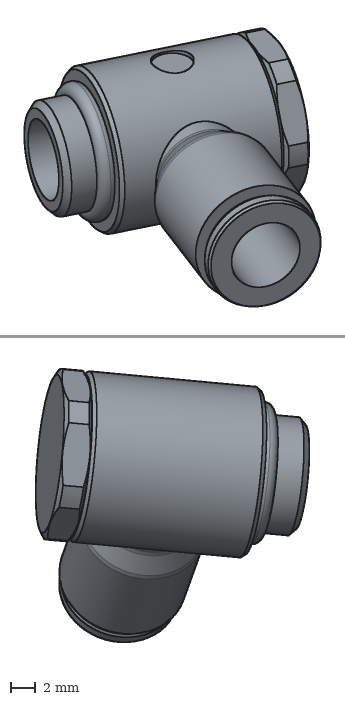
import cadquery as cq
import math

OVERALL_LENGTH = 27.7

BODY_DIAMETER = 14.0
BODY_RADIUS = BODY_DIAMETER / 2
BODY_REAR = 7.12
BODY_FRONT = -7.29
REAR_CHAMFER = 0.3
FRONT_CHAMFER_LENGTH = 0.35
FRONT_CHAMFER_DEPTH = 0.25

HEX_SIDES = 6
HEX_ACROSS_FLATS = 13.02
HEAD_REAR = 9.42
HEAD_CHAMFER_LENGTH = 0.3
HEAD_CHAMFER_ANGLE = 30

SEAL_OUTER_RADIUS = 5.85
SEAL_SECTION_RADIUS = 0.83
SEAL_CENTER = BODY_FRONT - SEAL_SECTION_RADIUS / 2
STUB_RADIUS = 4.85
STUB_FRONT = -11.27
STUB_CHAMFER = 0.55

NECK_RADIUS = 4.2
SOCKET_RADIUS = 5.25
CONE_START = 7.2
CONE_END = 9.33
CONE_BLEND_RADIUS = 0.95
RIM_MARGIN = 0.28
SOCKET_END = 18.5
COLLET_NECK_RADIUS = 3.6
FLANGE_START = 19.35
FLANGE_END = OVERALL_LENGTH - BODY_RADIUS
FLANGE_RADIUS = 4.93
FLANGE_CHAMFER_LENGTH = 0.28
FLANGE_CHAMFER_DEPTH = 0.15

PASSAGE_RADIUS = 3.0
INLET_RADIUS = 3.4
INLET_DEPTH = 4.0

RECESS_DIAMETER = 3.52
RECESS_FLOOR = 6.6


def cylinder_y(radius, rear, front):
    """Cylinder around the Y axis from the rear face to the front face."""
    return cq.Workplane("XZ", origin=(0, rear, 0)).circle(radius).extrude(rear - front)


def cylinder_x(radius, start, end):
    """Cylinder around the X axis."""
    return cq.Workplane("YZ", origin=(start, 0, 0)).circle(radius).extrude(end - start)


def revolve_y(points):
    """Turn a closed (radius, y) outline around the Y axis."""
    return cq.Workplane("XY").polyline(points).close().revolve(360, (0, 0), (0, 1))


def make_barrel():
    """Round barrel with a chamfer at each end."""
    return revolve_y([
        (0, BODY_REAR),
        (BODY_RADIUS - REAR_CHAMFER, BODY_REAR),
        (BODY_RADIUS, BODY_REAR - REAR_CHAMFER),
        (BODY_RADIUS, BODY_FRONT + FRONT_CHAMFER_LENGTH),
        (BODY_RADIUS - FRONT_CHAMFER_DEPTH, BODY_FRONT),
        (0, BODY_FRONT),
    ])


def make_head():
    """Hexagonal head, chamfered on both faces by turning."""
    corner_diameter = HEX_ACROSS_FLATS / math.cos(math.pi / HEX_SIDES)
    hexagon = (
        cq.Workplane("XZ", origin=(0, HEAD_REAR, 0))
        .polygon(HEX_SIDES, corner_diameter)
        .extrude(HEAD_REAR - BODY_REAR)
    )
    end_radius = BODY_RADIUS - HEAD_CHAMFER_LENGTH / math.tan(math.radians(HEAD_CHAMFER_ANGLE))
    turned_blank = revolve_y([
        (0, HEAD_REAR),
        (end_radius, HEAD_REAR),
        (BODY_RADIUS, HEAD_REAR - HEAD_CHAMFER_LENGTH),
        (BODY_RADIUS, BODY_REAR + HEAD_CHAMFER_LENGTH),
        (end_radius, BODY_REAR),
        (0, BODY_REAR),
    ])
    return hexagon.intersect(turned_blank)


def make_stub():
    """Inlet stub with a chamfered mouth."""
    return cylinder_y(STUB_RADIUS, BODY_FRONT, STUB_FRONT).faces("<Y").chamfer(STUB_CHAMFER)


def make_seal():
    """Seal ring partly sunk into the front of the barrel."""
    ring_radius = SEAL_OUTER_RADIUS - SEAL_SECTION_RADIUS
    return (
        cq.Workplane("XY")
        .center(ring_radius, SEAL_CENTER)
        .circle(SEAL_SECTION_RADIUS)
        .revolve(360, (-ring_radius, 0), (-ring_radius, 1))
    )


def make_arm():
    """Neck, cone and tube socket, ending in a flanged collet."""
    socket = (
        cq.Workplane("XY")
        .polyline([
            (0, 0),
            (0, NECK_RADIUS),
            (CONE_START, NECK_RADIUS),
            (CONE_END, SOCKET_RADIUS),
            (SOCKET_END, SOCKET_RADIUS),
            (SOCKET_END, 0),
        ])
        .close()
        .revolve(360, (0, 0), (1, 0))
    )
    cone_rims = cq.selectors.BoxSelector(
        (CONE_START - RIM_MARGIN, -RIM_MARGIN, -RIM_MARGIN),
        (CONE_END + RIM_MARGIN, RIM_MARGIN, RIM_MARGIN),
    )
    socket = socket.edges("%CIRCLE").edges(cone_rims).fillet(CONE_BLEND_RADIUS)
    collet_neck = cylinder_x(COLLET_NECK_RADIUS, SOCKET_END, FLANGE_START)
    flange = (
        cylinder_x(FLANGE_RADIUS, FLANGE_START, FLANGE_END)
        .faces("<X").edges().chamfer(FLANGE_CHAMFER_LENGTH, FLANGE_CHAMFER_DEPTH)
        .faces(">X").edges().chamfer(FLANGE_CHAMFER_LENGTH, FLANGE_CHAMFER_DEPTH)
    )
    return socket.union(collet_neck).union(flange)


def make_passage():
    """Stepped inlet bore turning into the outlet bore, which runs out through the collet."""
    inlet_end = STUB_FRONT + INLET_DEPTH
    inlet = cylinder_y(INLET_RADIUS, inlet_end, STUB_FRONT)
    inlet_branch = cylinder_y(PASSAGE_RADIUS, 0, inlet_end)
    outlet_branch = cylinder_x(PASSAGE_RADIUS, 0, FLANGE_END)
    corner = cq.Workplane("XY").sphere(PASSAGE_RADIUS)
    return inlet.union(inlet_branch).union(outlet_branch).union(corner)


def make_recess():
    """Flat-floored round recess."""
    return (
        cq.Workplane("XY", origin=(0, 0, RECESS_FLOOR))
        .circle(RECESS_DIAMETER / 2)
        .extrude(BODY_RADIUS - RECESS_FLOOR)
    )


solid_body = make_barrel().union(make_head()).union(make_stub()).union(make_seal()).union(make_arm())
result = solid_body.cut(make_passage()).cut(make_recess())